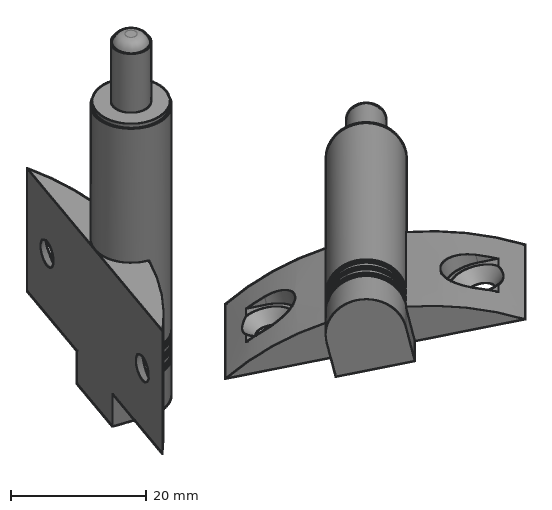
import cadquery as cq
import math

BODY_DIAMETER = 12.0
BODY_RADIUS = BODY_DIAMETER / 2
BODY_TOP = 53.0
RELIEF_DIAMETER = 11.5
RELIEF_RADIUS = RELIEF_DIAMETER / 2
COLLAR_HEIGHT = 0.75

PIN_RADIUS = 6.0 / 2
PIN_TOP = 66.0
DOME_HEIGHT = 1.5
DOME_EDGE_RADIUS = 2.0
DOME_FLAT_RADIUS = 0.9

FRONT_Y = -BODY_RADIUS
PLATE_WIDTH = 45.5
PLATE_BOTTOM = 6.0
PLATE_HEIGHT = 22.5

SCREW_SPACING = 32.0
SCREW_DIAMETER = 4.3
SPOT_FACE_DIAMETER = 10.0
SPOT_FACE_FLOOR_THICKNESS = 2.0
COUNTERSINK_DIAMETER = SCREW_DIAMETER + 2 * SPOT_FACE_FLOOR_THICKNESS

GROOVE_COUNT = 3
GROOVE_WIDTH = 1.0
GROOVE_PITCH = 2.0
FIRST_GROOVE_BOTTOM = 7.0


def rod():
    """Body, collar and domed pin turned as one profile around Z."""
    collar_top = BODY_TOP + COLLAR_HEIGHT
    pin_shoulder = PIN_TOP - DOME_HEIGHT
    arc_run = math.sqrt(DOME_EDGE_RADIUS**2 - (DOME_EDGE_RADIUS - DOME_HEIGHT) ** 2)
    dome_base_radius = DOME_FLAT_RADIUS + arc_run
    profile = (
        cq.Workplane("XZ")
        .lineTo(BODY_RADIUS, 0)
        .lineTo(BODY_RADIUS, BODY_TOP)
        .lineTo(RELIEF_RADIUS, BODY_TOP)
        .lineTo(RELIEF_RADIUS, collar_top)
        .lineTo(PIN_RADIUS, collar_top)
        .lineTo(PIN_RADIUS, pin_shoulder)
        .lineTo(dome_base_radius, pin_shoulder)
        .radiusArc((DOME_FLAT_RADIUS, PIN_TOP), -DOME_EDGE_RADIUS)
        .lineTo(0, PIN_TOP)
        .close()
    )
    return profile.revolve(360, (0, 0, 0), (0, 1, 0))


def cut_grooves(body):
    """Cut evenly spaced half rings into the round back half of the rod."""
    back_half = cq.Workplane("XY").box(
        BODY_DIAMETER, BODY_RADIUS, BODY_TOP, centered=(True, False, False)
    )
    for index in range(GROOVE_COUNT):
        ring = (
            cq.Workplane("XY", origin=(0, 0, FIRST_GROOVE_BOTTOM + index * GROOVE_PITCH))
            .circle(BODY_RADIUS)
            .circle(RELIEF_RADIUS)
            .extrude(GROOVE_WIDTH)
        )
        body = body.cut(ring.intersect(back_half))
    return body


def foot():
    """Square front half of the rod below the plate."""
    return cq.Workplane("XY").box(
        BODY_DIAMETER, BODY_RADIUS, PLATE_BOTTOM, centered=(True, False, False)
    ).translate((0, FRONT_Y, 0))


def plate():
    """Plate with a flat front and a curved back tapering to an edge at each end."""
    half_width = PLATE_WIDTH / 2
    center_offset = (half_width**2 - 2 * BODY_RADIUS**2) / (2 * BODY_RADIUS)
    sagitta = math.hypot(half_width, center_offset) - center_offset
    return (
        cq.Workplane("XY", origin=(0, 0, PLATE_BOTTOM))
        .moveTo(-half_width, FRONT_Y)
        .lineTo(half_width, FRONT_Y)
        .threePointArc((0, FRONT_Y + sagitta), (-half_width, FRONT_Y))
        .close()
        .extrude(PLATE_HEIGHT)
    )


def cut_screw_holes(body):
    """Cut countersunk through holes with round-ended spot faces that run out through the curved back."""
    hole_z = PLATE_BOTTOM + PLATE_HEIGHT / 2
    spot_face_y = FRONT_Y + SPOT_FACE_FLOOR_THICKNESS
    run_length = (PLATE_WIDTH - SCREW_SPACING) / 2
    for x in (-SCREW_SPACING / 2, SCREW_SPACING / 2):
        countersink = (
            cq.Workplane("XZ", origin=(x, FRONT_Y, hole_z))
            .circle(SCREW_DIAMETER / 2)
            .workplane(offset=-SPOT_FACE_FLOOR_THICKNESS)
            .circle(COUNTERSINK_DIAMETER / 2)
            .loft()
        )
        spot_face = (
            cq.Workplane("XZ", origin=(x, spot_face_y, hole_z))
            .circle(SPOT_FACE_DIAMETER / 2)
            .extrude(-BODY_DIAMETER)
        )
        outward_run = (
            cq.Workplane("XZ", origin=(x + math.copysign(run_length / 2, x), spot_face_y, hole_z))
            .rect(run_length, SPOT_FACE_DIAMETER)
            .extrude(-BODY_DIAMETER)
        )
        body = body.cut(countersink).cut(spot_face).cut(outward_run)
    return body


blank = rod().union(foot()).union(plate())
result = cut_screw_holes(cut_grooves(blank))